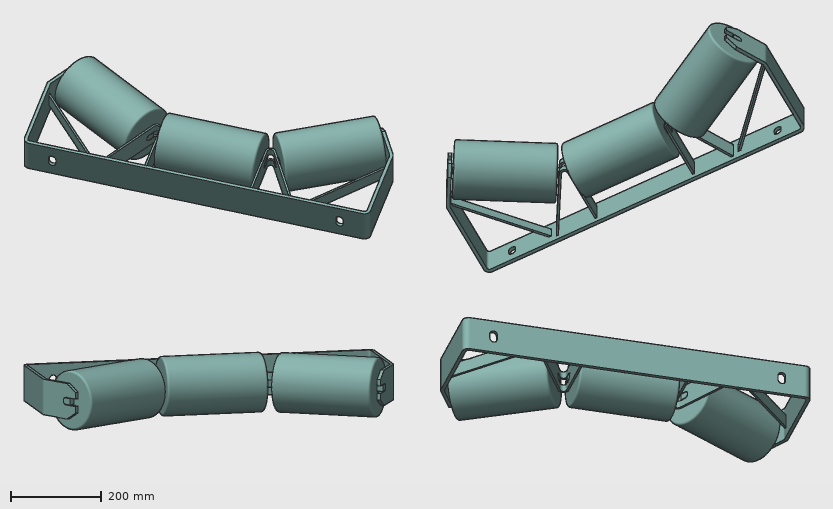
import cadquery as cq
import math


TROUGH_ANGLE = 30.0
SIN_TROUGH = math.sin(math.radians(TROUGH_ANGLE))
COS_TROUGH = math.cos(math.radians(TROUGH_ANGLE))

ROLLER_DIAMETER = 133.0
ROLLER_LENGTH = 229.0
ROLLER_EDGE_RADIUS = 5.0
CENTRE_ROLLER_Y = 125.0
WING_ROLLER_X = 252.0
WING_ROLLER_Y = 194.0

SPINDLE_DIAMETER = 21.0
SHOULDER_LENGTH = 2.0
TENON_WIDTH = 14.0
SLOT_WIDTH = 17.0
SLOT_DEPTH = SPINDLE_DIAMETER / 2
SLOT_OPENING = 40.0
SUPPORT_GAP = 5.2

STRAP_LENGTH = 800.0
STRAP_HEIGHT = 80.0
STRAP_THICKNESS = 8.0
STRAP_BEND_RADIUS = 10.0
ARM_TIP = 29.0
ARM_CHAMFER_LENGTH = 27.0
ARM_CHAMFER_HEIGHT = 17.0

MOUNT_SPACING = 664.0
MOUNT_WIDTH = 17.0
MOUNT_HEIGHT = 28.0

PLATE_THICKNESS = 5.0
PLATE_HEIGHT = 50.0
STRUT_HEIGHT = 30.0
BRACKET_BEND_RADIUS = 10.0
STRUT_FOOT_X = 237.0
STRUT_TOP_Y = 182.0

ROLLER_END = ROLLER_LENGTH / 2
LEG_DISTANCE = ROLLER_END + SUPPORT_GAP + PLATE_THICKNESS / 2
ARM_DISTANCE = ROLLER_END + SUPPORT_GAP + STRAP_THICKNESS / 2

WALL_X = (STRAP_LENGTH - STRAP_THICKNESS) / 2
FLOOR_Y = STRAP_THICKNESS / 2


def wing_point(along, above):
    """XY point at a distance along the right wing roller's axis and above it."""
    x = WING_ROLLER_X + along * COS_TROUGH - above * SIN_TROUGH
    y = WING_ROLLER_Y + along * SIN_TROUGH + above * COS_TROUGH
    return (x, y)


def point_on_line(start, end, *, x=None, y=None):
    """Point where the line through two points reaches the given X or Y."""
    if x is not None:
        t = (x - start[0]) / (end[0] - start[0])
    else:
        t = (y - start[1]) / (end[1] - start[1])
    return (start[0] + t * (end[0] - start[0]), start[1] + t * (end[1] - start[1]))


def bent_plate(points, thickness, height, bend_radius=None):
    """Plate standing along Z whose mid-thickness follows the points, with rounded bends."""
    path = cq.Wire.makePolygon([cq.Vector(x, y) for x, y in points])
    if bend_radius:
        path = path.fillet(bend_radius)
    start = cq.Vector(*points[0])
    direction = cq.Vector(*points[1]) - start
    section = cq.Plane(origin=start, xDir=(0, 0, 1), normal=direction)
    return cq.Workplane(section).rect(height, thickness).sweep(cq.Workplane(path))


def place_on_centre(shape):
    return shape.translate((0, CENTRE_ROLLER_Y, 0))


def place_on_wing(shape):
    turned = shape.rotate((0, 0, 0), (0, 0, 1), TROUGH_ANGLE)
    return turned.translate((WING_ROLLER_X, WING_ROLLER_Y, 0))


def on_both_sides(shape):
    return shape.union(shape.mirror("YZ"))


def bar_along_x(start, end, diameter):
    return cq.Workplane("YZ", origin=(start, 0, 0)).circle(diameter / 2).extrude(end - start)


def round_bottom_bar(start, end, width, depth, top):
    """Bar along X with upright sides, a half-round bottom and a flat top."""
    radius = width / 2
    return (
        cq.Workplane("YZ", origin=(start, 0, 0))
        .moveTo(top, -radius)
        .lineTo(radius - depth, -radius)
        .threePointArc((-depth, 0), (radius - depth, radius))
        .lineTo(top, radius)
        .close()
        .extrude(end - start)
    )


def spindle_slot(start, end):
    """Cutter for an open-topped slot around a spindle along X."""
    return round_bottom_bar(start, end, SLOT_WIDTH, SLOT_DEPTH, SLOT_OPENING)


def make_roller(left_plate, right_plate):
    """Roller along X whose spindle tenons end flush with the plates of the given thicknesses."""
    shell = bar_along_x(-ROLLER_END, ROLLER_END, ROLLER_DIAMETER).edges().fillet(ROLLER_EDGE_RADIUS)
    shoulder = ROLLER_END + SHOULDER_LENGTH
    spindle = bar_along_x(-shoulder, shoulder, SPINDLE_DIAMETER)
    left_end = -ROLLER_END - SUPPORT_GAP - left_plate
    right_end = ROLLER_END + SUPPORT_GAP + right_plate
    tenons = round_bottom_bar(left_end, right_end, TENON_WIDTH, SLOT_DEPTH, SPINDLE_DIAMETER / 2)
    return shell.union(spindle).union(tenons)


def make_strap():
    tip = wing_point(ARM_DISTANCE, ARM_TIP)
    bend = point_on_line(tip, wing_point(ARM_DISTANCE, 0), x=WALL_X)
    right_side = [(WALL_X, FLOOR_Y), bend, tip]
    left_side = [(-x, y) for x, y in reversed(right_side)]
    return bent_plate(left_side + right_side, STRAP_THICKNESS, STRAP_HEIGHT, STRAP_BEND_RADIUS)


def make_arm_cutter():
    """Spindle slot and corner chamfers of the right arm."""
    start = ARM_DISTANCE - STRAP_THICKNESS
    end = ARM_DISTANCE + STRAP_THICKNESS
    cutter = spindle_slot(start, end)
    edge = STRAP_HEIGHT / 2
    for side in (-1, 1):
        corner = [
            (ARM_TIP, side * edge),
            (ARM_TIP - ARM_CHAMFER_LENGTH, side * edge),
            (ARM_TIP, side * (edge - ARM_CHAMFER_HEIGHT)),
        ]
        cutter = cutter.union(
            cq.Workplane("YZ", origin=(start, 0, 0)).polyline(corner).close().extrude(end - start)
        )
    return place_on_wing(cutter)


def make_mounting_slots():
    return (
        cq.Workplane("XZ")
        .pushPoints([(-MOUNT_SPACING / 2, 0), (MOUNT_SPACING / 2, 0)])
        .slot2D(MOUNT_HEIGHT, MOUNT_WIDTH, 90)
        .extrude(-STRAP_THICKNESS)
    )


def make_bracket():
    """Right inner bracket: upright leg, arch and sloping leg, slotted for two spindles."""
    slope_top = wing_point(-LEG_DISTANCE, 0)
    slope_base = wing_point(-LEG_DISTANCE, -SLOT_DEPTH)
    apex = point_on_line(slope_top, slope_base, x=LEG_DISTANCE)
    foot = point_on_line(slope_top, slope_base, y=FLOOR_Y)
    path = [(LEG_DISTANCE, FLOOR_Y), apex, foot]
    bracket = bent_plate(path, PLATE_THICKNESS, PLATE_HEIGHT, BRACKET_BEND_RADIUS)
    arch_width = 2 * BRACKET_BEND_RADIUS + PLATE_THICKNESS
    near = ROLLER_END
    far = ROLLER_END + SUPPORT_GAP + arch_width
    bracket = bracket.cut(place_on_centre(spindle_slot(near, far)))
    return bracket.cut(place_on_wing(spindle_slot(-far, -near)))


def make_strut():
    foot = (STRUT_FOOT_X, STRAP_THICKNESS)
    top = (WALL_X - STRAP_THICKNESS / 2, STRUT_TOP_Y)
    path = [point_on_line(foot, top, y=FLOOR_Y), point_on_line(foot, top, x=WALL_X)]
    return bent_plate(path, PLATE_THICKNESS, STRUT_HEIGHT)


def make_frame():
    strap = make_strap().cut(on_both_sides(make_arm_cutter())).cut(make_mounting_slots())
    return strap.union(on_both_sides(make_bracket())).union(on_both_sides(make_strut()))


frame = make_frame()
centre_roller = place_on_centre(make_roller(PLATE_THICKNESS, PLATE_THICKNESS))
right_roller = place_on_wing(make_roller(PLATE_THICKNESS, STRAP_THICKNESS))
wing_rollers = [right_roller, right_roller.mirror("YZ")]

result = cq.Compound.makeCompound(
    [frame.val(), centre_roller.val(), *[roller.val() for roller in wing_rollers]]
)